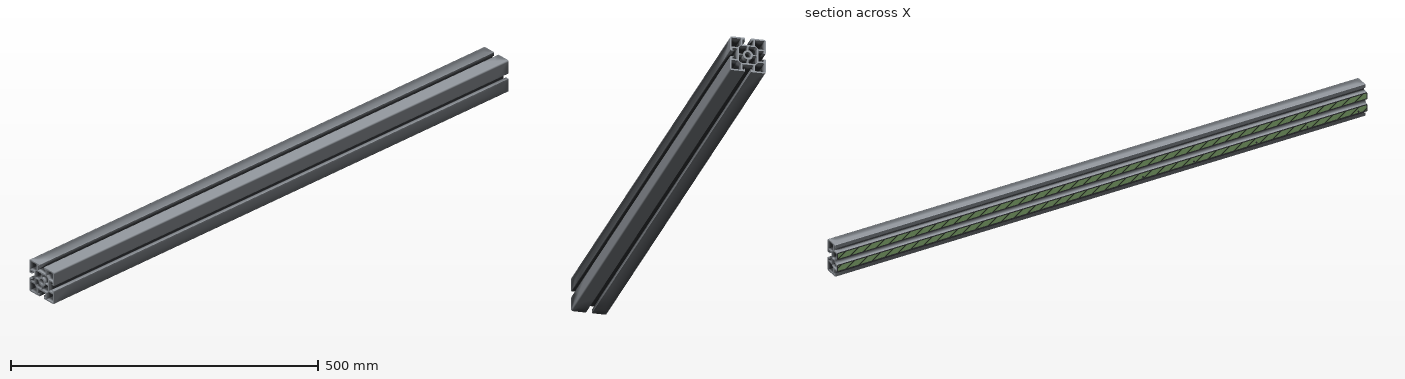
import cadquery as cq
import math

SIDE = 60.0
LENGTH = 1000.0
CORNER_RADIUS = 3.0
WALL = 2.5

MOUTH_WIDTH = 10.0
MOUTH_BEVEL_WIDTH = 2.0
MOUTH_BEVEL_DEPTH = 0.3
LIP_TIP_DEPTH = 6.5
LIP_ROOT_DEPTH = 3.5
LIP_SLOPE_WIDTH = 1.0
SLOT_WIDTH = 19.0
SLOT_DEPTH = 12.4

CORE_CHAMFER = 2.7
CORNER_WALL = 1.3
TUBE_OUTER_RADIUS = 8.25
TUBE_BORE_RADIUS = 5.0
RIB_WIDTH = 1.5
RIB_FILLET = 1.75

HALF_SIDE = SIDE / 2
MOUTH_HALF = MOUTH_WIDTH / 2
SLOT_HALF = SLOT_WIDTH / 2
FLOOR_HEIGHT = HALF_SIDE - SLOT_DEPTH
CORE_HALF = FLOOR_HEIGHT - WALL

SIDES = 4
QUARTER_TURN = 90


def section():
    """Workplane across the bar, with X to the right and Z up."""
    return cq.Workplane("XZ")


def along_bar(outline):
    """Extrude a closed section over the whole length, centred on the origin."""
    return outline.extrude(LENGTH / 2, both=True)


def turned(body, quarter_turns):
    """Turn a body about the bar axis by a number of quarter turns."""
    return body.rotate((0, 0, 0), (0, 1, 0), QUARTER_TURN * quarter_turns)


def outer_bar():
    """Square bar with rounded long edges."""
    return along_bar(section().rect(SIDE, SIDE)).edges("|Y").fillet(CORNER_RADIUS)


def t_slot():
    """T-slot in the +Z side: bevelled mouth, hooked lips, flat floor."""
    right_side = [
        (MOUTH_HALF + MOUTH_BEVEL_WIDTH, HALF_SIDE),
        (MOUTH_HALF, HALF_SIDE - MOUTH_BEVEL_DEPTH),
        (MOUTH_HALF, HALF_SIDE - LIP_TIP_DEPTH),
        (MOUTH_HALF + LIP_SLOPE_WIDTH, HALF_SIDE - LIP_ROOT_DEPTH),
        (SLOT_HALF, HALF_SIDE - LIP_ROOT_DEPTH),
        (SLOT_HALF, FLOOR_HEIGHT),
    ]
    left_side = [(-x, z) for x, z in reversed(right_side)]
    return along_bar(section().polyline(right_side + left_side).close())


def corner_chamber():
    """Square chamber in the +X +Z corner, cut off diagonally beside the core."""
    inner = SLOT_HALF + WALL
    outer = HALF_SIDE - WALL
    core_diagonal_sum = 2 * CORE_HALF - CORE_CHAMFER
    diagonal_end = core_diagonal_sum + CORNER_WALL * math.sqrt(2) - inner
    corners = [
        (inner, outer),
        (outer, outer),
        (outer, inner),
        (diagonal_end, inner),
        (inner, diagonal_end),
    ]
    return along_bar(section().polyline(corners).close())


def core_chamber():
    """Chamfered square chamber around the tube, split by the four ribs."""
    square = along_bar(section().rect(2 * CORE_HALF, 2 * CORE_HALF))
    chamber = square.edges("|Y").chamfer(CORE_CHAMFER)
    tube = along_bar(section().circle(TUBE_OUTER_RADIUS))
    upright_ribs = along_bar(section().rect(RIB_WIDTH, SIDE))
    level_ribs = along_bar(section().rect(SIDE, RIB_WIDTH))
    chamber = chamber.cut(tube).cut(upright_ribs).cut(level_ribs)

    root_box = cq.selectors.BoxSelector(
        (-RIB_WIDTH, -LENGTH, CORE_HALF - WALL),
        (RIB_WIDTH, LENGTH, CORE_HALF + WALL),
    )
    for _ in range(SIDES):
        chamber = turned(chamber, 1).edges("|Y").edges(root_box).fillet(RIB_FILLET)
    return chamber


bar = outer_bar()
for side in range(SIDES):
    bar = bar.cut(turned(t_slot(), side))
    bar = bar.cut(turned(corner_chamber(), side))
bar = bar.cut(core_chamber())
bar = bar.cut(along_bar(section().circle(TUBE_BORE_RADIUS)))

result = bar